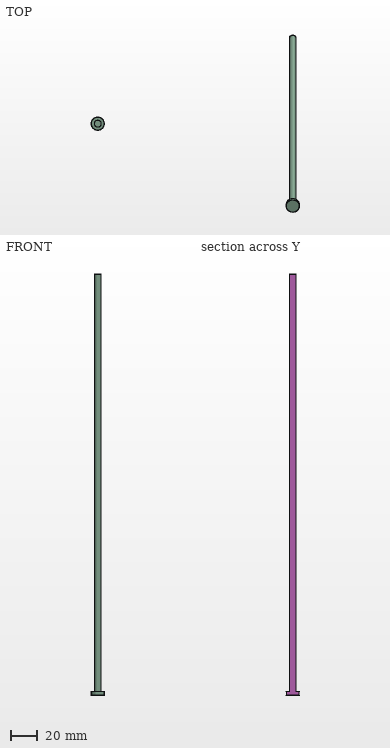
import cadquery as cq

head_diameter = 10.0
head_thickness = 3.0
shaft_diameter = 5.2
shaft_length = 315.0

head = cq.Workplane("XY").circle(head_diameter / 2).extrude(head_thickness)

result = head.faces(">Z").workplane().circle(shaft_diameter / 2).extrude(shaft_length)